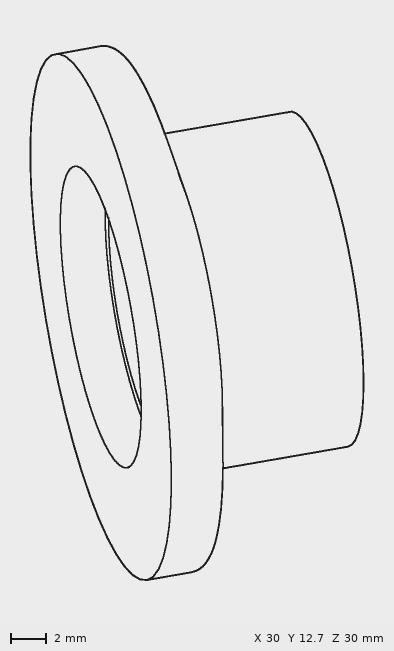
import cadquery as cq
import math

flange_diameter = 30.0
tube_diameter = 19.1
bore_diameter = 15.7
recess_diameter = 17.2

total_length = 12.7
tube_start = 4.47
recess_depth = 2.6
cone_angle = 15.0
rim_fillet = 0.5

flange_radius = flange_diameter / 2
tube_radius = tube_diameter / 2
cone_height = (flange_radius - tube_radius) * math.tan(math.radians(cone_angle))
rim_width = tube_start - cone_height


def make_body():
    """Revolve the solid flange and tube, then round the back edge of the rim."""
    body = (
        cq.Workplane("XY")
        .lineTo(flange_radius, 0)
        .lineTo(flange_radius, rim_width)
        .lineTo(tube_radius, tube_start)
        .lineTo(tube_radius, total_length)
        .lineTo(0, total_length)
        .close()
        .revolve(360, (0, 0, 0), (0, 1, 0))
    )
    back_rim_edge = cq.selectors.BoxSelector(
        (-flange_diameter, rim_width - rim_fillet, -flange_diameter),
        (flange_diameter, rim_width + rim_fillet, flange_diameter),
    )
    return body.edges("%CIRCLE").edges(back_rim_edge).fillet(rim_fillet)


def make_cylinder(diameter, length):
    """Cylinder that starts at the sealing face and runs along +Y."""
    return cq.Workplane("XZ").circle(diameter / 2).extrude(-length)


bore = make_cylinder(bore_diameter, total_length)
recess = make_cylinder(recess_diameter, recess_depth)
result = make_body().cut(bore).cut(recess)